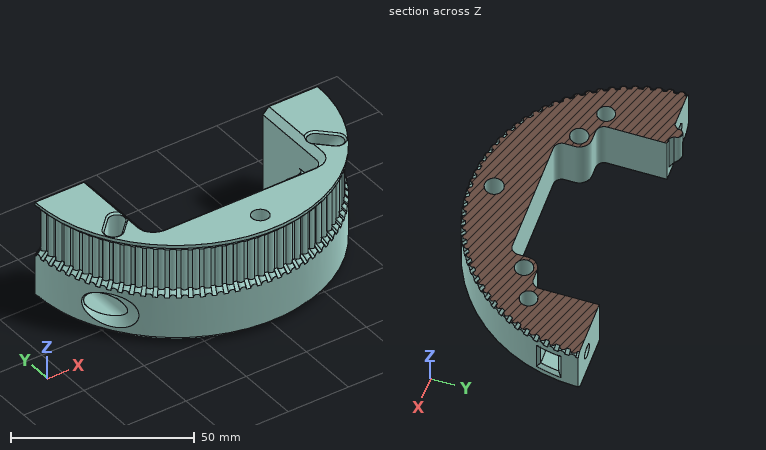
import cadquery as cq
import math

OUTER_RADIUS = 47.0
HEIGHT = 33.0
SMALL_CHAMFER = 1.0
EDGE_CHAMFER = 2.0
OVERLAP = 0.9

TEETH_PER_RING = 90
TEETH = TEETH_PER_RING // 2
PITCH_ANGLE = 360.0 / TEETH_PER_RING
TOOTH_DIAMETER = 2.0
ROOT_RADIUS = OUTER_RADIUS - TOOTH_DIAMETER
BAND_BOTTOM = 17.3
TOP_RIM = 1.0
ROOT_DEPTH = OUTER_RADIUS - ROOT_RADIUS
LEDGE_BOTTOM = BAND_BOTTOM - ROOT_DEPTH
BAND_TOP = HEIGHT - TOP_RIM - ROOT_DEPTH

OPENING_HALF_WIDTH = 28.8
OPENING_DEPTH = 28.9
OPENING_CORNER_RADIUS = 3.3

LUG_X = 23.5
LUG_Y = -23.5
LUG_RADIUS = 3.8
LUG_TOP = 23.3
LUG_FILLET = 2.35
LUG_HOLE_DIAMETER = 5.2
LUG_HOLE_CHAMFER = 0.7

REAR_HOLE_DIAMETER = 5.4
REAR_HOLE_Y = -40.0
SLOT_DIAMETER = 5.0
SLOT_X = 33.0
SLOT_Y = -19.0
SLOT_LENGTH = 5.6
SLOT_DIRECTION = -45.0
SLOT_CHAMFER = 0.6

SCREW_X = 39.4
SCREW_Z = 8.65
SCREW_DIAMETER = 4.2
HEAD_DIAMETER = 7.0
GRIP_LENGTH = 8.8
NUT_Y = -8.8
NUT_SLOT_WIDTH = 5.5
NUT_SLOT_HEIGHT = 7.5
NUT_SLOT_FLOOR_X = SCREW_X - NUT_SLOT_HEIGHT / 2

TONGUE_X = -33.0
TONGUE_WIDTH = 3.0
TONGUE_HEIGHT = 3.0
TONGUE_LENGTH = 25.7


def half_revolve(profile):
    """Revolve an (r, z) outline around Z through the Y < 0 half."""
    return cq.Workplane("XZ").polyline(profile).close().revolve(180, (0, 0), (0, -1))


def edges_inside(center, size):
    """Selector for the edges whose centers lie in a box given by its center and size."""
    low = tuple(middle - length / 2 for middle, length in zip(center, size))
    high = tuple(middle + length / 2 for middle, length in zip(center, size))
    return cq.selectors.BoxSelector(low, high)


def lower_ring():
    """Smooth ring below the teeth, with the screw and nut recesses and their chamfered mouths."""
    ring = half_revolve([
        (0, 0),
        (OUTER_RADIUS - EDGE_CHAMFER, 0),
        (OUTER_RADIUS, EDGE_CHAMFER),
        (OUTER_RADIUS, LEDGE_BOTTOM),
        (0, LEDGE_BOTTOM),
    ])
    head_bore = (
        cq.Workplane("XZ", origin=(-SCREW_X, -GRIP_LENGTH, SCREW_Z))
        .circle(HEAD_DIAMETER / 2)
        .extrude(OUTER_RADIUS)
    )
    ring = ring.cut(head_bore)
    ring = ring.edges(edges_inside(
        (-SCREW_X, -OUTER_RADIUS / 2, SCREW_Z), (HEAD_DIAMETER, OUTER_RADIUS / 2, HEAD_DIAMETER)
    )).edges("not %LINE").chamfer(EDGE_CHAMFER)

    nut_slot = cq.Workplane("XY").box(
        OUTER_RADIUS, NUT_SLOT_WIDTH, NUT_SLOT_HEIGHT, centered=(False, True, True)
    ).translate((NUT_SLOT_FLOOR_X, NUT_Y, SCREW_Z))
    ring = ring.cut(nut_slot)
    return ring.edges(edges_inside(
        (OUTER_RADIUS, NUT_Y, SCREW_Z),
        (NUT_SLOT_WIDTH, 2 * NUT_SLOT_WIDTH, NUT_SLOT_HEIGHT + SMALL_CHAMFER),
    )).chamfer(SMALL_CHAMFER)


def upper_ring():
    """Root of the toothed band between a 45 degree ledge below and the top flange."""
    return half_revolve([
        (0, LEDGE_BOTTOM),
        (OUTER_RADIUS, LEDGE_BOTTOM),
        (ROOT_RADIUS, BAND_BOTTOM),
        (ROOT_RADIUS, BAND_TOP),
        (OUTER_RADIUS, HEIGHT - TOP_RIM),
        (OUTER_RADIUS, HEIGHT),
        (0, HEIGHT),
    ])


def teeth():
    """Half-round ridges whose feet slant outward at 45 degrees over the ledge."""
    ridge = cq.Workplane("XY").circle(TOOTH_DIAMETER / 2).extrude(HEIGHT - TOP_RIM - BAND_BOTTOM)
    foot = cq.Workplane(cq.Solid.extrudeLinear(
        cq.Wire.makeCircle(TOOTH_DIAMETER / 2, cq.Vector(0, 0, 0), cq.Vector(0, 0, 1)),
        [],
        cq.Vector(ROOT_DEPTH, 0, -ROOT_DEPTH),
    ))
    envelope = cq.Workplane("XY").circle(OUTER_RADIUS).extrude(HEIGHT)
    tooth = ridge.union(foot).translate((ROOT_RADIUS, 0, BAND_BOTTOM)).intersect(envelope).val()
    return [
        tooth.rotate((0, 0, 0), (0, 0, 1), -PITCH_ANGLE * (index + 0.5))
        for index in range(TEETH)
    ]


def rounded_opening(margin, z):
    """Outline of the opening, widened all round by a margin, at height z."""
    outline = (
        cq.Sketch()
        .rect(2 * (OPENING_HALF_WIDTH + margin), 2 * (OPENING_DEPTH + margin))
        .vertices()
        .fillet(OPENING_CORNER_RADIUS + margin)
    )
    return cq.Workplane("XY", origin=(0, 0, z)).placeSketch(outline)


def opening():
    """Rectangular opening with rounded corners and a chamfered top edge."""
    straight = rounded_opening(0, 0).extrude(HEIGHT)
    flare = rounded_opening(EDGE_CHAMFER, HEIGHT).extrude(-EDGE_CHAMFER, taper=45)
    return straight.union(flare)


def lug(side):
    """Bored corner lug, flared into both walls of the opening."""
    wall_x = OPENING_HALF_WIDTH
    wall_y = -OPENING_DEPTH
    edge_x = LUG_X - LUG_RADIUS
    edge_y = LUG_Y + LUG_RADIUS
    turn = LUG_RADIUS * math.sqrt(0.5)
    bend = LUG_FILLET * (1 - math.sqrt(0.5))
    body = (
        cq.Workplane("XY")
        .moveTo(wall_x, edge_y + LUG_FILLET)
        .threePointArc((wall_x - bend, edge_y + bend), (wall_x - LUG_FILLET, edge_y))
        .lineTo(LUG_X, edge_y)
        .threePointArc((LUG_X - turn, LUG_Y + turn), (edge_x, LUG_Y))
        .lineTo(edge_x, wall_y + LUG_FILLET)
        .threePointArc((edge_x - bend, wall_y + bend), (edge_x - LUG_FILLET, wall_y))
        .lineTo(edge_x - LUG_FILLET, wall_y - OVERLAP)
        .lineTo(wall_x, wall_y - OVERLAP)
        .lineTo(wall_x + OVERLAP, wall_y)
        .lineTo(wall_x + OVERLAP, edge_y + LUG_FILLET)
        .close()
        .extrude(LUG_TOP)
    )
    body = (
        body.faces(">Z").workplane(origin=(LUG_X, LUG_Y, 0))
        .cskHole(LUG_HOLE_DIAMETER, LUG_HOLE_DIAMETER + 2 * LUG_HOLE_CHAMFER, 90)
    )
    return body if side > 0 else body.mirror("YZ")


def slot_hole(side):
    """Vertical hole opened outward at the top by a round-ended trough rising at 45 degrees."""
    radius = SLOT_DIAMETER / 2
    end_z = HEIGHT - SLOT_CHAMFER
    start_z = end_z - SLOT_LENGTH
    hole = cq.Workplane("XY").circle(radius).extrude(HEIGHT)
    tilted_bore = cq.Workplane(cq.Solid.makeCylinder(
        radius, SLOT_LENGTH * math.sqrt(2), cq.Vector(0, 0, start_z), cq.Vector(1, 0, 1)
    ))
    bore_end = cq.Workplane("XY", origin=(SLOT_LENGTH, 0, end_z)).sphere(radius)
    above_bore = (
        cq.Workplane("XZ", origin=(0, radius, 0))
        .polyline([(0, end_z), (0, start_z), (SLOT_LENGTH, end_z)])
        .close()
        .extrude(SLOT_DIAMETER)
    )
    mouth = (
        cq.Workplane("XY", origin=(SLOT_LENGTH / 2, 0, HEIGHT))
        .slot2D(SLOT_LENGTH + SLOT_DIAMETER + 2 * SLOT_CHAMFER, SLOT_DIAMETER + 2 * SLOT_CHAMFER)
        .extrude(-SLOT_CHAMFER, taper=45)
    )
    cutter = hole.union(above_bore).union(tilted_bore).union(bore_end).union(mouth)
    cutter = cutter.rotate((0, 0, 0), (0, 0, 1), SLOT_DIRECTION).translate((SLOT_X, SLOT_Y, 0))
    return cutter if side > 0 else cutter.mirror("YZ")


def tongue():
    """Upright round-nosed tongue with a flared base and 45 degree ends."""
    half = TONGUE_WIDTH / 2
    shape = (
        cq.Workplane("XY")
        .moveTo(-half - SMALL_CHAMFER, -OVERLAP)
        .lineTo(-half - SMALL_CHAMFER, 0)
        .lineTo(-half, SMALL_CHAMFER)
        .lineTo(-half, TONGUE_HEIGHT - half)
        .threePointArc((0, TONGUE_HEIGHT), (half, TONGUE_HEIGHT - half))
        .lineTo(half, SMALL_CHAMFER)
        .lineTo(half + SMALL_CHAMFER, 0)
        .lineTo(half + SMALL_CHAMFER, -OVERLAP)
        .close()
        .extrude(HEIGHT)
        .translate((TONGUE_X, 0, 0))
    )
    base_z = (HEIGHT - TONGUE_LENGTH) / 2
    side_outline = (
        cq.Workplane("YZ", origin=(-OUTER_RADIUS, 0, 0))
        .polyline([
            (-OVERLAP, base_z),
            (0, base_z),
            (TONGUE_HEIGHT, base_z + TONGUE_HEIGHT),
            (TONGUE_HEIGHT, HEIGHT - base_z - TONGUE_HEIGHT),
            (0, HEIGHT - base_z),
            (-OVERLAP, HEIGHT - base_z),
        ])
        .close()
        .extrude(OUTER_RADIUS)
    )
    return shape.intersect(side_outline)


body = lower_ring().union(upper_ring())
body = cq.Workplane(body.val().fuse(*teeth()))
body = body.cut(opening())

screw_hole = cq.Workplane("XZ").circle(SCREW_DIAMETER / 2).extrude(GRIP_LENGTH + OVERLAP)
rear_hole = cq.Workplane("XY").circle(REAR_HOLE_DIAMETER / 2).extrude(HEIGHT)
body = body.cut(rear_hole.translate((0, REAR_HOLE_Y, 0)))
for side in (-1, 1):
    body = body.union(lug(side))
    body = body.cut(slot_hole(side))
    body = body.cut(screw_hole.translate((side * SCREW_X, 0, SCREW_Z)))

result = body.union(tongue()).solids()